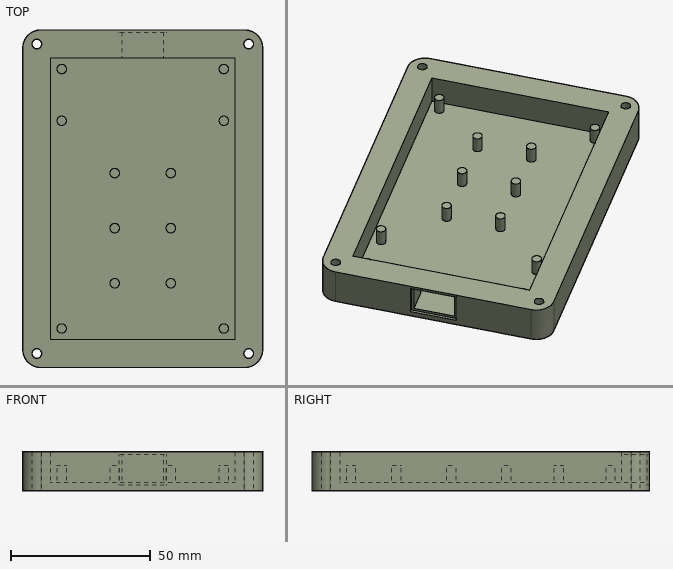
import cadquery as cq

length = 121.0
width = 86.0
height = 14.0
corner_radius = 6.5
wall = 10.0
floor_thickness = 3.0

screw_diameter = 3.4
screw_edge_distance = 5.1

pin_diameter = 3.4
pin_height = 6.0
side_pin_x = 29.0
side_pin_rows = (46.5, 28.0, -46.5)
middle_pin_x = 10.0
middle_pin_first_y = 9.2
middle_pin_pitch = 19.7
middle_pin_row_count = 3

opening_width = 15.0
bridge_thickness = 1.0

recess_depth = 1.0
recess_margin = 1.0


def make_tray():
    """Rounded block with a rectangular pocket open at the top."""
    block = (
        cq.Workplane("XY")
        .box(width, length, height, centered=(True, True, False))
        .edges("|Z")
        .fillet(corner_radius)
    )
    pocket = (
        cq.Workplane("XY", origin=(0, 0, floor_thickness))
        .rect(width - 2 * wall, length - 2 * wall)
        .extrude(height - floor_thickness)
    )
    return block.cut(pocket)


def make_screw_holes():
    """Four through holes, one near each corner."""
    return (
        cq.Workplane("XY")
        .rect(width - 2 * screw_edge_distance, length - 2 * screw_edge_distance, forConstruction=True)
        .vertices()
        .circle(screw_diameter / 2)
        .extrude(height)
    )


def make_wall_cut(cut_width, depth, bottom):
    """Box cut into the outer +Y face, from the given bottom up to the bridge."""
    cut_height = height - bridge_thickness - bottom
    return cq.Workplane("XY", origin=(0, length / 2 - depth / 2, bottom)).box(
        cut_width, depth, cut_height, centered=(True, True, False)
    )


def make_opening():
    """Rectangular passage level with the floor, with a wider and lower recess at its outer end."""
    passage = make_wall_cut(opening_width, wall, floor_thickness)
    recess = make_wall_cut(
        opening_width + 2 * recess_margin, recess_depth, floor_thickness - recess_margin
    )
    return passage.union(recess)


def make_pins():
    """Pins in mirrored pairs along the sides and in the middle of the floor."""
    middle_pin_rows = [middle_pin_first_y - row * middle_pin_pitch for row in range(middle_pin_row_count)]
    side_points = [(side * side_pin_x, y) for side in (-1, 1) for y in side_pin_rows]
    middle_points = [(side * middle_pin_x, y) for side in (-1, 1) for y in middle_pin_rows]
    return (
        cq.Workplane("XY")
        .pushPoints(side_points + middle_points)
        .circle(pin_diameter / 2)
        .extrude(floor_thickness + pin_height)
    )


result = make_tray().cut(make_screw_holes()).cut(make_opening()).union(make_pins())